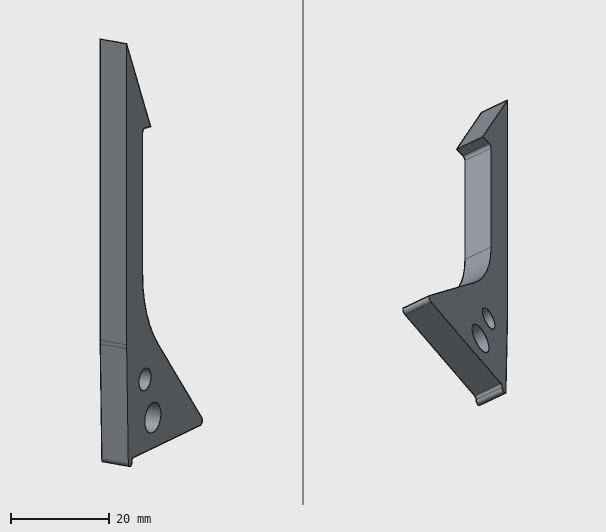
import cadquery as cq
import math

thickness = 6.3
height = 90.5
depth = 29.9

blade_depth = 6.3
barb_reach = 9.5
barb_tip_z = 70.3
barb_root_z = 70.7
barb_root_radius = 0.7

base_z = 1.5
foot_angle = math.radians(49.5)
toe_radius = 0.9
foot_blend_radius = 25.3

bend_z = 25.9
bend_radius = 30.8
lean_angle = math.radians(1.5)

lip_width = 1.45
lip_radius = lip_width / 2
lip_root_radius = 0.5

small_hole_diameter = 4.7
small_hole_center = (7.2, 17.0)
large_hole_diameter = 6.3
large_hole_center = (10.3, 8.05)

toe_corner_y = depth - toe_radius + toe_radius / math.tan(foot_angle / 2)
foot_top_z = base_z + (toe_corner_y - blade_depth) * math.tan(foot_angle)
lip_back_y = (bend_z - lip_radius) * math.tan(lean_angle)
lip_front_y = lip_back_y + lip_width

toe_corner = (toe_corner_y, base_z)
foot_top_corner = (blade_depth, foot_top_z)
barb_root_corner = (blade_depth, barb_root_z)
lip_root_corner = (lip_front_y, base_z)

bend_tangent = bend_radius * math.tan(lean_angle / 2)
bend_bottom = (bend_tangent * math.sin(lean_angle), bend_z - bend_tangent * math.cos(lean_angle))
bend_top = (0, bend_z + bend_tangent)


def round_corner(body, corner, radius):
    """Round the edge that runs along X through a (Y, Z) profile corner."""
    edge_middle = (thickness / 2, *corner)
    return body.edges(cq.selectors.NearestToPointSelector(edge_middle)).fillet(radius)


def drill(body, center, diameter):
    """Cut a hole through the full thickness at a (Y, Z) position."""
    cutter = cq.Workplane("YZ").center(*center).circle(diameter / 2).extrude(thickness)
    return body.cut(cutter)


result = (
    cq.Workplane("YZ")
    .moveTo(0, height)
    .lineTo(barb_reach, barb_tip_z)
    .lineTo(*barb_root_corner)
    .lineTo(*foot_top_corner)
    .lineTo(*toe_corner)
    .lineTo(*lip_root_corner)
    .lineTo(lip_front_y, lip_radius)
    .threePointArc((lip_back_y + lip_radius, 0), (lip_back_y, lip_radius))
    .lineTo(*bend_bottom)
    .tangentArcPoint(bend_top, relative=False)
    .close()
    .extrude(thickness)
)

result = round_corner(result, barb_root_corner, barb_root_radius)
result = round_corner(result, foot_top_corner, foot_blend_radius)
result = round_corner(result, toe_corner, toe_radius)
result = round_corner(result, lip_root_corner, lip_root_radius)

result = drill(result, small_hole_center, small_hole_diameter)
result = drill(result, large_hole_center, large_hole_diameter)